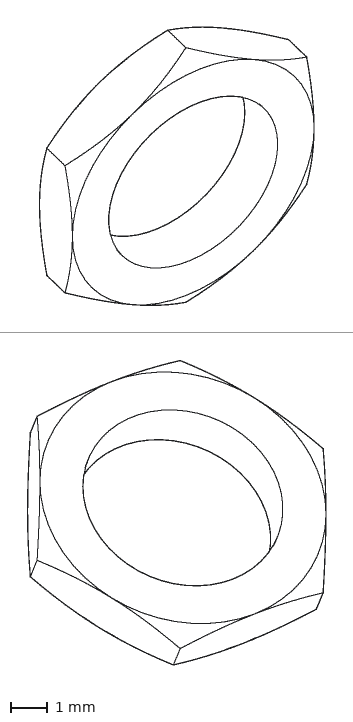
import cadquery as cq
import math

side_count = 6
across_corners = 9.24
thickness = 1.6
bore_diameter = 5.59
chamfer_angle = 30.0

corner_radius = across_corners / 2
flat_radius = corner_radius * math.cos(math.pi / side_count)
chamfer_depth = (corner_radius - flat_radius) * math.tan(math.radians(chamfer_angle))
half_thickness = thickness / 2


def hexagonal_plate():
    """Hexagon with its axis along X and two corners on the Z axis."""
    corners = []
    for i in range(side_count):
        angle = math.radians(90 + 360 / side_count * i)
        corners.append((corner_radius * math.cos(angle), corner_radius * math.sin(angle)))
    plate = cq.Workplane("YZ").polyline(corners).close()
    return plate.extrude(half_thickness, both=True)


def chamfered_disc():
    """Disc around X whose cones meet the end faces at the inscribed circle."""
    shoulder = half_thickness - chamfer_depth
    profile = [
        (-half_thickness, 0),
        (-half_thickness, flat_radius),
        (-shoulder, corner_radius),
        (shoulder, corner_radius),
        (half_thickness, flat_radius),
        (half_thickness, 0),
    ]
    return cq.Workplane("XY").polyline(profile).close().revolve(360, (0, 0, 0), (1, 0, 0))


def bore():
    """Through hole along X."""
    start_face = cq.Workplane("YZ", origin=(-half_thickness, 0, 0))
    return start_face.circle(bore_diameter / 2).extrude(thickness)


result = hexagonal_plate().intersect(chamfered_disc()).cut(bore()).clean()